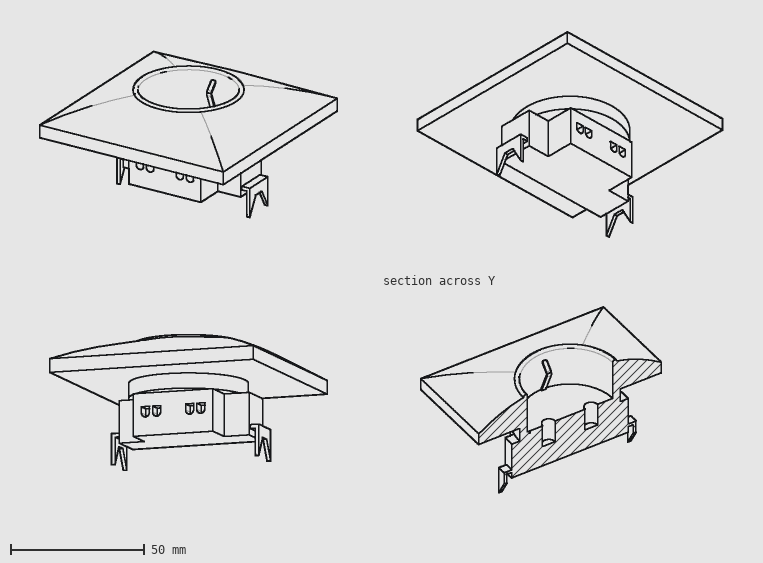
import cadquery as cq
import math

PLATE_X = 81.5
PLATE_Y = 80.5
PLATE_THICKNESS = 5.2
CROWN_BULGE = 1.15
CROWN_SECTIONS = 5

TOP_Z = 15.1
SOCKET_DIAMETER = 38.0
RIM_WIDTH = 1.9
FLOOR_Z = -2.85
SOCKET_RADIUS = SOCKET_DIAMETER / 2
RIM_RADIUS = SOCKET_RADIUS + RIM_WIDTH
CROWN_TOP_Z = TOP_Z - RIM_WIDTH / 2

PIN_DIAMETER = 5.5
PIN_OFFSET = 9.45
PIN_DEPTH = 9.8

CONTACT_WIDTH = 1.95
CONTACT_THICKNESS = 0.6
CONTACT_BEND_RADIUS = 1.95
CONTACT_TIP_RADIUS = 0.9
CONTACT_TIP = (17.8, 11.6)
CONTACT_BEND = (14.0, 7.4)
CONTACT_FOOT_Y = 18.6
CONTACT_EMBED = 0.8

COLLAR_DIAMETER = 45.0
COLLAR_HEIGHT = 5.8
BLOCK_HEIGHT = 16.2
BLOCK_BACK_Y = 10.1
WING_FRONT_Y = -4.65
WING_LENGTH_X = 52.0
CENTRE_FRONT_Y = -16.7
CENTRE_LENGTH_X = 31.95
BLOCK_TOP_Z = -COLLAR_HEIGHT
BLOCK_BOTTOM_Z = BLOCK_TOP_Z - BLOCK_HEIGHT

WIRE_WIDTH = 3.3
WIRE_TOP_Z = -10.9
WIRE_BOTTOM_Z = -14.8
WIRE_DEPTH = 4.9
WIRE_OFFSETS = (6.6, 11.1)

CLAW_SPAN_X = 59.0
CLAW_WIDTH = 12.8
CLAW_THICKNESS = 1.5
CLAW_TOP_Z = -17.9
CLAW_BOTTOM_Z = -29.9
CLAW_NOTCH_Z = -22.3
CLAW_NOTCH_WIDTH = 4.15
CLAW_CENTRE_Y = (WING_FRONT_Y + BLOCK_BACK_Y) / 2


def box(x_range, y_range, z_range):
    """Box between the given limits on each axis."""
    low, high = zip(x_range, y_range, z_range)
    size = [end - start for start, end in zip(low, high)]
    return cq.Workplane("XY").box(*size, centered=False).translate(low)


def crown_outline(fraction):
    """Outline of the dome, from the plate edge (0) to the circle under the rim (1)."""
    def blend(start, end):
        return start + (end - start) * fraction

    bulge = 4 * CROWN_BULGE * fraction * (1 - fraction)
    z = blend(PLATE_THICKNESS, CROWN_TOP_Z) + bulge
    middle_x = blend(PLATE_X / 2, RIM_RADIUS)
    middle_y = blend(PLATE_Y / 2, RIM_RADIUS)
    corner_x = blend(PLATE_X / 2, RIM_RADIUS / math.sqrt(2))
    corner_y = blend(PLATE_Y / 2, RIM_RADIUS / math.sqrt(2))
    outline = cq.Workplane("XY", origin=(0, 0, z))
    if fraction == 0:
        return outline.rect(PLATE_X, PLATE_Y).val()
    return (
        outline.moveTo(-corner_x, -corner_y)
        .threePointArc((0, -middle_y), (corner_x, -corner_y))
        .threePointArc((middle_x, 0), (corner_x, corner_y))
        .threePointArc((0, middle_y), (-corner_x, corner_y))
        .threePointArc((-middle_x, 0), (-corner_x, -corner_y))
        .close()
        .val()
    )


def make_cover():
    """Slab and dome, with the half-round rim on top."""
    slab = cq.Workplane("XY").rect(PLATE_X, PLATE_Y).extrude(PLATE_THICKNESS)
    outlines = [crown_outline(i / (CROWN_SECTIONS - 1)) for i in range(CROWN_SECTIONS)]
    crown = cq.Workplane("XY").newObject([cq.Solid.makeLoft(outlines)])
    rim = (
        cq.Workplane("XZ")
        .moveTo(SOCKET_RADIUS, CROWN_TOP_Z)
        .threePointArc((SOCKET_RADIUS + RIM_WIDTH / 2, TOP_Z), (RIM_RADIUS, CROWN_TOP_Z))
        .lineTo(RIM_RADIUS, PLATE_THICKNESS)
        .lineTo(SOCKET_RADIUS, PLATE_THICKNESS)
        .close()
        .revolve(360, (0, 0, 0), (0, 1, 0))
    )
    return slab.union(crown).union(rim)


def make_base():
    """Collar and terminal block."""
    collar = cq.Workplane("XY").circle(COLLAR_DIAMETER / 2).extrude(-COLLAR_HEIGHT)
    block_z = (BLOCK_BOTTOM_Z, BLOCK_TOP_Z)
    wings = box((-WING_LENGTH_X / 2, WING_LENGTH_X / 2), (WING_FRONT_Y, BLOCK_BACK_Y), block_z)
    centre = box((-CENTRE_LENGTH_X / 2, CENTRE_LENGTH_X / 2), (CENTRE_FRONT_Y, BLOCK_BACK_Y), block_z)
    return collar.union(wings).union(centre)


def make_socket():
    """Round well with the two pin holes, to be cut away."""
    well = cq.Workplane("XY", origin=(0, 0, FLOOR_Z)).circle(SOCKET_RADIUS).extrude(TOP_Z - FLOOR_Z)
    pins = (
        cq.Workplane("XY", origin=(0, 0, FLOOR_Z))
        .pushPoints([(-PIN_OFFSET, 0), (PIN_OFFSET, 0)])
        .circle(PIN_DIAMETER / 2)
        .extrude(-PIN_DEPTH)
    )
    return well.union(pins)


def make_wire_opening(x):
    """One wire opening, to be cut into the front of the block."""
    half_width = WIRE_WIDTH / 2
    arc_end_z = WIRE_BOTTOM_Z + half_width
    return (
        cq.Workplane("XZ", origin=(x, CENTRE_FRONT_Y, 0))
        .moveTo(-half_width, WIRE_TOP_Z)
        .lineTo(half_width, WIRE_TOP_Z)
        .lineTo(half_width, arc_end_z)
        .threePointArc((0, WIRE_BOTTOM_Z), (-half_width, arc_end_z))
        .close()
        .extrude(-WIRE_DEPTH)
    )


def make_contact():
    """Earth contact on the +Y side: leans inward from the floor, then back to a rounded tip."""
    tip_y, tip_z = CONTACT_TIP
    bend_y, bend_z = CONTACT_BEND
    foot_z = FLOOR_Z - CONTACT_EMBED
    rise_angle = math.atan2(tip_z - bend_z, tip_y - bend_y)
    lean_angle = math.atan2(bend_z - foot_z, CONTACT_FOOT_Y - bend_y)
    half_angle = (rise_angle + lean_angle) / 2
    bisector = (rise_angle - lean_angle) / 2
    inner_distance = CONTACT_THICKNESS / math.sin(half_angle)
    inner_bend = (
        bend_y + inner_distance * math.cos(bisector),
        bend_z + inner_distance * math.sin(bisector),
    )
    inner_tip = (
        tip_y + CONTACT_THICKNESS * math.sin(rise_angle),
        tip_z - CONTACT_THICKNESS * math.cos(rise_angle),
    )
    inner_foot = (CONTACT_FOOT_Y + CONTACT_THICKNESS / math.sin(lean_angle), foot_z)
    strip = (
        cq.Workplane("YZ")
        .polyline([CONTACT_TIP, CONTACT_BEND, (CONTACT_FOOT_Y, foot_z), inner_foot, inner_bend, inner_tip])
        .close()
        .extrude(CONTACT_WIDTH / 2, both=True)
    )
    bend_edge = cq.selectors.NearestToPointSelector((0, bend_y, bend_z))
    strip = strip.edges("|X").edges(bend_edge).fillet(CONTACT_BEND_RADIUS)
    tip_end = cq.selectors.NearestToPointSelector(
        (0, (tip_y + inner_tip[0]) / 2, (tip_z + inner_tip[1]) / 2)
    )
    return strip.faces(tip_end).edges("not |X").fillet(CONTACT_TIP_RADIUS)


def make_claw():
    """Claw on the +X end: a short arm and a downward plate with a notch between two points."""
    outer_x = CLAW_SPAN_X / 2
    half_width = CLAW_WIDTH / 2
    half_notch = CLAW_NOTCH_WIDTH / 2
    across = (CLAW_CENTRE_Y - half_width, CLAW_CENTRE_Y + half_width)
    arm = box((WING_LENGTH_X / 2, outer_x), across, (CLAW_TOP_Z - CLAW_THICKNESS, CLAW_TOP_Z))
    plate = (
        cq.Workplane("YZ", origin=(outer_x, CLAW_CENTRE_Y, 0))
        .polyline([
            (-half_width, CLAW_TOP_Z),
            (half_width, CLAW_TOP_Z),
            (half_width, CLAW_BOTTOM_Z),
            (half_notch, CLAW_NOTCH_Z),
            (-half_notch, CLAW_NOTCH_Z),
            (-half_width, CLAW_BOTTOM_Z),
        ])
        .close()
        .extrude(-CLAW_THICKNESS)
    )
    return arm.union(plate)


result = make_cover().union(make_base()).cut(make_socket())

for offset in WIRE_OFFSETS:
    for side in (-1, 1):
        result = result.cut(make_wire_opening(side * offset))

contact = make_contact()
result = result.union(contact).union(contact.mirror("XZ"))

claw = make_claw()
result = result.union(claw).union(claw.mirror("YZ"))